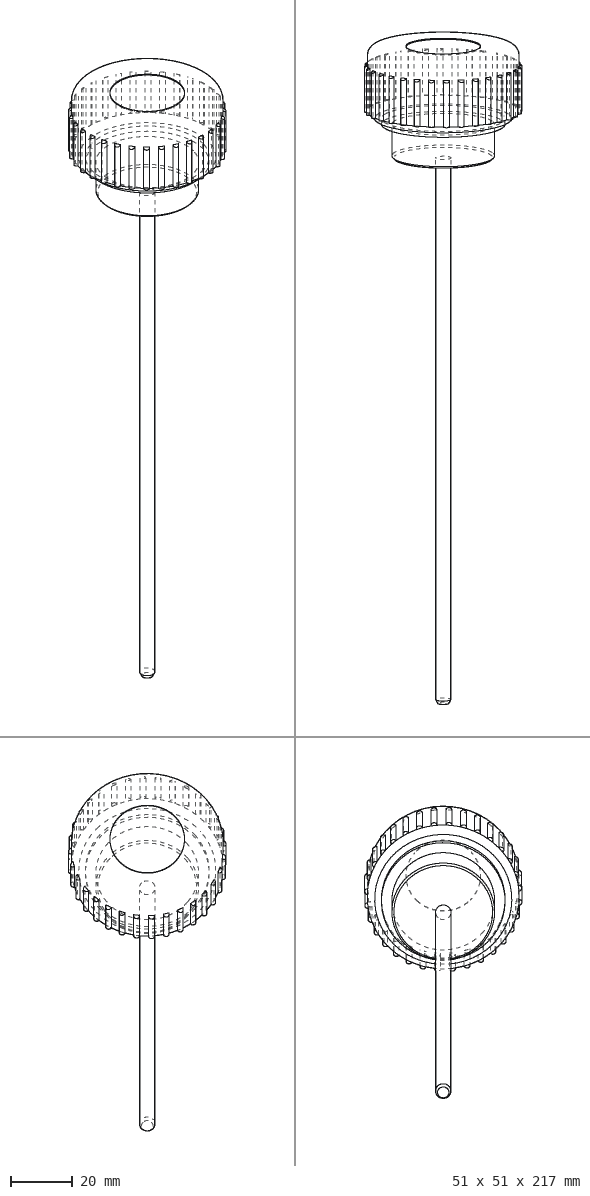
import cadquery as cq
import math

overall_height = 217.0
cap_diameter = 49.0
cap_edge_fillet = 3.0
label_diameter = 24.0
label_recess_depth = 0.33

rib_count = 32
rib_reach_diameter = 51.0
rib_top_depth = 6.7
rib_tip_length = 14.8
rib_top_rise = 0.7

cone_height = 2.4
cone_end_diameter = 44.3
flange_diameter = 40.0
flange_height = 2.0
neck_diameter = 33.2
neck_height = 11.0
neck_chamfer = 0.7

rod_diameter = 5.0
tip_chamfer_width = 0.7
tip_chamfer_height = 1.3

rib_top = overall_height - rib_top_depth
rib_bottom = rib_top - rib_tip_length
cone_bottom = rib_bottom - cone_height
flange_bottom = cone_bottom - flange_height
neck_bottom = flange_bottom - neck_height

cap_radius = cap_diameter / 2
rib_radius = rib_reach_diameter / 2 - cap_radius


def revolved_body():
    """Cap, cone, flange, neck and rod as one turned profile."""
    cone_end_radius = cone_end_diameter / 2
    flange_radius = flange_diameter / 2
    neck_radius = neck_diameter / 2
    rod_radius = rod_diameter / 2
    fillet_start = (cap_radius, overall_height - cap_edge_fillet)
    fillet_end = (cap_radius - cap_edge_fillet, overall_height)
    fillet_inset = cap_edge_fillet * (1 - math.cos(math.pi / 4))
    fillet_middle = (cap_radius - fillet_inset, overall_height - fillet_inset)
    profile = (
        cq.Workplane("XZ")
        .moveTo(0, 0)
        .lineTo(rod_radius - tip_chamfer_width, 0)
        .lineTo(rod_radius, tip_chamfer_height)
        .lineTo(rod_radius, neck_bottom)
        .lineTo(neck_radius - neck_chamfer, neck_bottom)
        .lineTo(neck_radius, neck_bottom + neck_chamfer)
        .lineTo(neck_radius, flange_bottom)
        .lineTo(flange_radius, flange_bottom)
        .lineTo(flange_radius, cone_bottom)
        .lineTo(cone_end_radius, cone_bottom)
        .lineTo(cap_radius, rib_bottom)
        .lineTo(*fillet_start)
        .threePointArc(fillet_middle, fillet_end)
        .lineTo(0, overall_height)
        .close()
    )
    return profile.revolve(360, (0, 0, 0), (0, 1, 0))


def grip_ribs():
    """Ring of upright round ribs whose tops slope up from the tips to the cap wall."""
    bars = (
        cq.Workplane("XY")
        .workplane(offset=rib_bottom)
        .polarArray(cap_radius, 0, 360, rib_count)
        .circle(rib_radius)
        .extrude(rib_tip_length + rib_top_rise)
    )
    tip_radius = rib_reach_diameter / 2
    sloped_limit = (
        cq.Workplane("XZ")
        .moveTo(0, rib_bottom)
        .lineTo(tip_radius, rib_bottom)
        .lineTo(tip_radius, rib_top)
        .lineTo(cap_radius, rib_top + rib_top_rise)
        .lineTo(0, rib_top + rib_top_rise)
        .close()
        .revolve(360, (0, 0, 0), (0, 1, 0))
    )
    return bars.intersect(sloped_limit)


def label_recess():
    """Shallow round recess in the top face."""
    return (
        cq.Workplane("XY")
        .workplane(offset=overall_height - label_recess_depth)
        .circle(label_diameter / 2)
        .extrude(label_recess_depth)
    )


result = revolved_body().union(grip_ribs()).cut(label_recess())